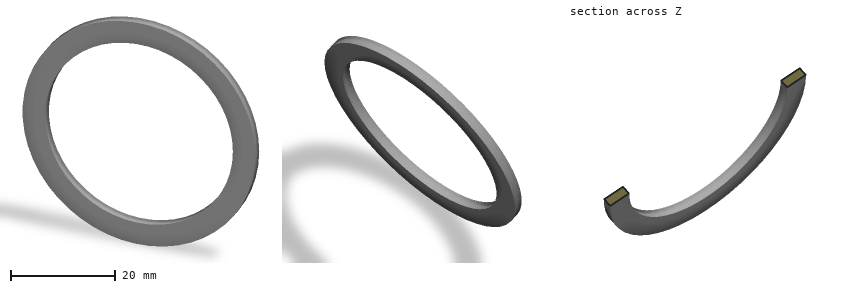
import cadquery as cq

outer_diameter = 48.1
inner_diameter = 38.8
thickness = 2.0

result = (
    cq.Workplane("XZ", origin=(0, thickness / 2, 0))
    .circle(outer_diameter / 2)
    .circle(inner_diameter / 2)
    .extrude(thickness)
)